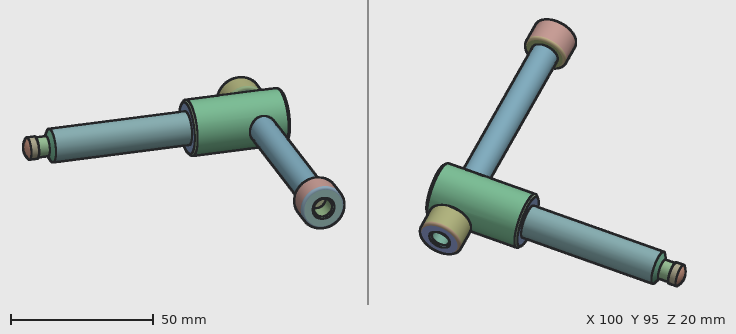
import cadquery as cq

body_diameter = 20
body_length = 35
body_chamfer = 0.8

shaft_diameter = 12
shaft_length = 50
shaft_end_taper = 1.5

neck_diameter = 7.2
tip_diameter = 8
neck_length = 4
tip_length = 10
dome_height = 1.6

bar_length = 100
bar_diameter = 10
bar_offset = 10
head_diameter = 16
head_length = 9.9
head_fillet = 1
body_center_x = 20

recess_diameter = 8
recess_floor_diameter = 6.7
recess_chamfer = (recess_diameter - recess_floor_diameter) / 2
recess_depth = 8


def make_spindle():
    """Revolve the shaft, neck and domed tip about the Y axis."""
    shaft_radius = shaft_diameter / 2
    neck_radius = neck_diameter / 2
    tip_radius = tip_diameter / 2
    shaft_start = bar_offset - body_length
    taper_start = shaft_start - shaft_length
    neck_start = taper_start - shaft_end_taper
    tip_start = neck_start - neck_length
    tip_end = taper_start - tip_length
    dome_start = tip_end + dome_height
    dome_radius = (tip_radius**2 + dome_height**2) / (2 * dome_height)
    dome_center = tip_end + dome_radius
    mid_x = tip_radius / 2
    mid_y = dome_center - (dome_radius**2 - mid_x**2) ** 0.5
    return (
        cq.Workplane("XY")
        .moveTo(0, shaft_start)
        .lineTo(shaft_radius, shaft_start)
        .lineTo(shaft_radius, taper_start)
        .lineTo(neck_radius, neck_start)
        .lineTo(neck_radius, tip_start)
        .lineTo(tip_radius, tip_start)
        .lineTo(tip_radius, dome_start)
        .threePointArc((mid_x, mid_y), (0, tip_end))
        .close()
        .revolve(360, (0, 0, 0), (0, 1, 0))
    )


def make_body():
    """Chamfered cylinder, with the cross bar axis through the origin."""
    return (
        cq.Workplane("XZ", origin=(0, bar_offset, 0))
        .circle(body_diameter / 2)
        .extrude(body_length)
        .edges()
        .chamfer(body_chamfer)
    )


def make_head(start_x):
    return (
        cq.Workplane("YZ", origin=(start_x, 0, 0))
        .circle(head_diameter / 2)
        .extrude(head_length)
        .edges()
        .fillet(head_fillet)
    )


def make_recess(face_x, inward):
    """Blind hole with a chamfered mouth, cut in the inward direction along X."""
    mouth_radius = recess_diameter / 2
    hole_radius = recess_floor_diameter / 2
    return (
        cq.Workplane("XY")
        .moveTo(face_x, 0)
        .lineTo(face_x, mouth_radius)
        .lineTo(face_x + inward * recess_chamfer, hole_radius)
        .lineTo(face_x + inward * recess_depth, hole_radius)
        .lineTo(face_x + inward * recess_depth, 0)
        .close()
        .revolve(360, (0, 0, 0), (1, 0, 0))
    )


bar_start = -body_center_x
bar_end = bar_start + bar_length
bar = (
    cq.Workplane("YZ", origin=(bar_start + head_length / 2, 0, 0))
    .circle(bar_diameter / 2)
    .extrude(bar_length - head_length)
)

result = (
    make_body()
    .union(make_spindle())
    .union(bar)
    .union(make_head(bar_start))
    .union(make_head(bar_end - head_length))
    .cut(make_recess(bar_start, 1))
    .cut(make_recess(bar_end, -1))
)